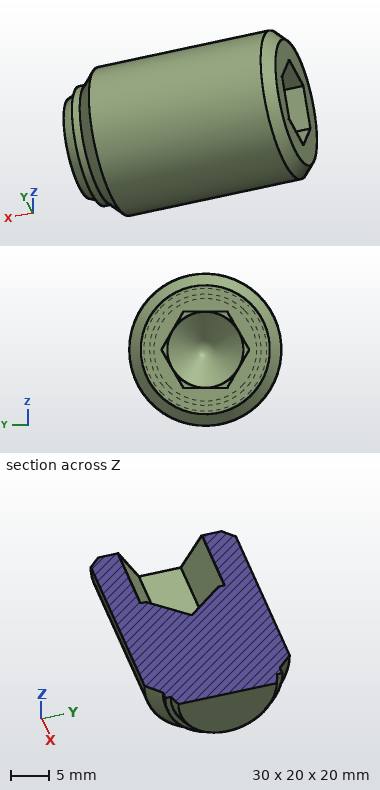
import cadquery as cq
import math

length = 30.0
body_radius = 20.0 / 2
socket_end_chamfer = 1.53

neck_radius = 8.07
neck_length = 1.08
tip_length = 1.62
ball_radius = 7.5
tip_flat_radius = 6.75

socket_across_flats = 10.0
socket_depth = 10.0
drill_point_angle = 100.0

neck_end = length - tip_length
neck_start = neck_end - neck_length
taper_start = neck_start - (body_radius - neck_radius)
ball_center = length - math.sqrt(ball_radius**2 - tip_flat_radius**2)


def ball_point(x):
    """Point of the ball outline at station x, as (x, radius)."""
    return (x, math.sqrt(ball_radius**2 - (x - ball_center) ** 2))


def make_screw_blank():
    """Solid of revolution: chamfered body, tapered shoulder, neck and ball tip."""
    profile = (
        cq.Workplane("XY")
        .lineTo(0, body_radius - socket_end_chamfer)
        .lineTo(socket_end_chamfer, body_radius)
        .lineTo(taper_start, body_radius)
        .lineTo(neck_start, neck_radius)
        .lineTo(neck_end, neck_radius)
        .lineTo(*ball_point(neck_end))
        .threePointArc(ball_point((neck_end + length) / 2), ball_point(length))
        .lineTo(length, 0)
        .close()
    )
    return profile.revolve(360, (0, 0, 0), (1, 0, 0))


def make_socket():
    """Hexagonal prism with corners on the Y axis, ending in a drill point."""
    across_corners = socket_across_flats / math.cos(math.pi / 6)
    hexagon = cq.Workplane("YZ").polygon(6, across_corners).extrude(socket_depth)

    drill_radius = socket_across_flats / 2
    point_length = drill_radius / math.tan(math.radians(drill_point_angle / 2))
    drill_point = (
        cq.Workplane("XY")
        .moveTo(socket_depth, 0)
        .lineTo(socket_depth, drill_radius)
        .lineTo(socket_depth + point_length, 0)
        .close()
        .revolve(360, (0, 0, 0), (1, 0, 0))
    )
    return hexagon.union(drill_point)


result = make_screw_blank().cut(make_socket())